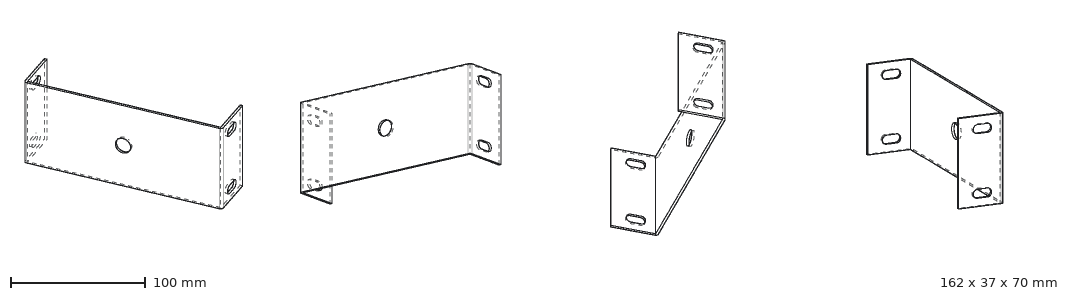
import cadquery as cq

length = 162.0
depth = 37.0
height = 70.0
sheet = 2.1
bend_outer_radius = sheet

web_hole_diameter = 12.5

slot_length = 15.0
slot_width = 7.0
slot_spacing = 50.0
slot_from_front = 17.5


def make_channel():
    """Bent sheet with its web at the front and two flanges running back."""
    outer = cq.Workplane("XY").box(length, depth, height).edges("|Z and <Y").fillet(bend_outer_radius)
    inner = cq.Workplane("XY").box(length - 2 * sheet, depth, height).translate((0, sheet, 0))
    return outer.cut(inner)


def make_web_hole():
    return cq.Workplane("XZ").circle(web_hole_diameter / 2).extrude(depth, both=True)


def make_flange_slots():
    """Upper and lower slots, each passing through both flanges."""
    slot_y = slot_from_front - depth / 2
    return (
        cq.Workplane("YZ")
        .pushPoints([(slot_y, side * slot_spacing / 2) for side in (-1, 1)])
        .slot2D(slot_length, slot_width)
        .extrude(length, both=True)
    )


result = make_channel().cut(make_web_hole()).cut(make_flange_slots())